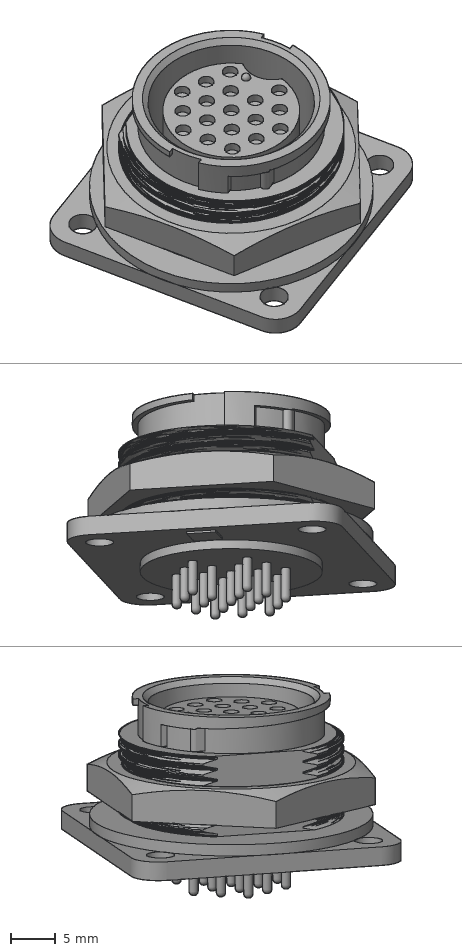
import cadquery as cq
import math


cut_margin = 0.33

flange_thickness = 2.15
gasket_thickness = 1.3
thread_length = 9.25
collar_length = 4.3
gasket_top = flange_thickness + gasket_thickness
thread_top = gasket_top + thread_length
rim_top = thread_top + collar_length

flange_side = 31.55
flange_corner_radius = 3.17
mount_hole_spacing = 24.45
mount_hole_diameter = 3.15
gasket_diameter = 31.75

pad_side = 3.33
pad_height = 0.23
pad_center_y = 12.85

thread_pitch = 1.25
thread_radius = 12.65
thread_depth = 0.82
thread_root_radius = thread_radius - thread_depth
crest_width = 0.15
flank_angle = 30.0
groove_phase_height = 11.88
thread_flat_x = -10.7

neck_radius = 10.45
rim_radius = 11.1
bore_radius = 9.3
bore_chamfer = 0.63
slot_width = 3.65
ramp_depth = 1.15
ramp_slope = 0.037
pocket_depth = 1.55
lug_depth = 4.1
lug_outer_x = 5.0
post_start = (-7.65, 7.15)
post_bulge = (-8.2, 7.35)
post_end = (-8.68, 6.9)

insert_radius = 7.65
insert_recess = 1.8
insert_top = rim_top - insert_recess
key_notch_radius = 3.35
key_notch_center_y = 9.5
contact_pitch = 3.15
contact_row_pitch = contact_pitch * math.sqrt(3) / 2
contacts_in_middle_row = 5
contact_outer_row = 2
contact_hole_radius = 0.85
contact_hole_depth = 1.0
dot_radius = 0.53
dot_center = (-1.1, 5.4)

boss_radius = 10.2
boss_height = 1.02
pin_radius = 0.53
pin_length = 3.85
pin_tip_fillet = 0.5

nut_across_corners = 33.0
nut_bottom = 5.28
nut_height = 4.1
nut_top_radius = 13.93
nut_corner_drop = 1.02


def cylinder(radius, bottom, top):
    return cq.Workplane("XY").workplane(offset=bottom).circle(radius).extrude(top - bottom)


def box_between(x_range, y_range, z_range):
    size = [high - low for low, high in (x_range, y_range, z_range)]
    corner = (x_range[0], y_range[0], z_range[0])
    return cq.Workplane("XY").box(*size, centered=False).translate(corner)


def contact_positions():
    """Hexagonal grid in rows of 3, 4, 5, 4, 3, without the middle place of the +Y row."""
    places = []
    for row in range(-contact_outer_row, contact_outer_row + 1):
        count = contacts_in_middle_row - abs(row)
        for column in range(count):
            offset = column - (count - 1) / 2
            if row == contact_outer_row and offset == 0:
                continue
            places.append((offset * contact_pitch, row * contact_row_pitch))
    return places


def polar_point(radius, angle):
    return (radius * math.cos(angle), radius * math.sin(angle))


def thread_core():
    """Right-handed threaded rod: its level cross-section, extruded with a twist of one turn per pitch.

    The cross-section has a root arc and a crest arc, joined by an off-centre arc for each thread flank.
    """
    radians_per_height = 2 * math.pi / thread_pitch
    flank_height = thread_depth * math.tan(math.radians(flank_angle))
    root_width = thread_pitch - crest_width - 2 * flank_height

    groove_angle = (gasket_top - groove_phase_height) * radians_per_height
    root_start = groove_angle - root_width * radians_per_height / 2
    root_end = groove_angle + root_width * radians_per_height / 2
    crest_start = root_end + flank_height * radians_per_height
    crest_end = crest_start + crest_width * radians_per_height
    next_root_start = root_start + 2 * math.pi

    flank_middle_radius = (thread_root_radius + thread_radius) / 2
    section = (
        cq.Workplane("XY")
        .workplane(offset=gasket_top)
        .moveTo(*polar_point(thread_root_radius, root_start))
        .threePointArc(
            polar_point(thread_root_radius, groove_angle),
            polar_point(thread_root_radius, root_end),
        )
        .threePointArc(
            polar_point(flank_middle_radius, (root_end + crest_start) / 2),
            polar_point(thread_radius, crest_start),
        )
        .threePointArc(
            polar_point(thread_radius, (crest_start + crest_end) / 2),
            polar_point(thread_radius, crest_end),
        )
        .threePointArc(
            polar_point(flank_middle_radius, (crest_end + next_root_start) / 2),
            polar_point(thread_root_radius, next_root_start),
        )
        .close()
    )
    return section.twistExtrude(thread_length, 360 * thread_length / thread_pitch)


def flange():
    plate = (
        cq.Workplane("XY")
        .rect(flange_side, flange_side)
        .extrude(flange_thickness)
        .edges("|Z")
        .fillet(flange_corner_radius)
        .faces(">Z")
        .workplane()
        .rect(mount_hole_spacing, mount_hole_spacing, forConstruction=True)
        .vertices()
        .hole(mount_hole_diameter)
    )
    pad = (
        cq.Workplane("XY")
        .center(0, pad_center_y)
        .rect(pad_side, pad_side)
        .extrude(-pad_height)
    )
    gasket = cylinder(gasket_diameter / 2, flange_thickness, gasket_top)
    return plate.union(pad).union(gasket)


def bayonet_half():
    """The -X half of the bayonet rim: ramp, locking pocket, lug and post."""
    reach = rim_radius + cut_margin
    slot_edge = -slot_width / 2
    ramp_rise = ramp_slope * reach
    ramp = (
        cq.Workplane("YZ", origin=(-reach, 0, 0))
        .polyline([
            (-reach, rim_top),
            (-reach, rim_top - ramp_depth + ramp_rise),
            (reach, rim_top - ramp_depth - ramp_rise),
            (reach, rim_top),
        ])
        .close()
        .extrude(reach + slot_edge)
        .cut(box_between((post_end[0], 0), (0, reach + cut_margin), (thread_top, rim_top)))
    )
    pocket_roof = box_between((post_end[0], slot_edge), (0, reach), (rim_top - pocket_depth, rim_top))
    lug = box_between((-lug_outer_x, slot_edge), (0, reach), (rim_top - lug_depth, rim_top))
    ring = cylinder(rim_radius, thread_top, rim_top).cut(cylinder(bore_radius, thread_top, rim_top))
    post_root_y = math.sqrt(bore_radius ** 2 - post_end[0] ** 2)
    post = (
        cq.Workplane("XY")
        .workplane(offset=rim_top - lug_depth)
        .moveTo(*post_start)
        .threePointArc(post_bulge, post_end)
        .lineTo(post_end[0], post_root_y)
        .close()
        .extrude(lug_depth - pocket_depth)
    )
    return ramp.union(pocket_roof).union(lug).intersect(ring).union(post)


def collar():
    neck = cylinder(neck_radius, thread_top, rim_top)
    half = bayonet_half()
    other_half = half.rotate((0, 0, 0), (0, 0, 1), 180)
    return neck.union(half).union(other_half)


def socket_bore():
    """Space inside the collar and thread, with a chamfered mouth."""
    bore = cylinder(bore_radius, gasket_top, rim_top)
    mouth = cq.Workplane("XY").add(
        cq.Solid.makeCone(
            bore_radius, bore_radius + bore_chamfer, bore_chamfer,
            pnt=cq.Vector(0, 0, rim_top - bore_chamfer),
        )
    )
    return bore.union(mouth)


def insert():
    key_notch = cylinder(key_notch_radius, gasket_top, insert_top).translate((0, key_notch_center_y, 0))
    holes = (
        cq.Workplane("XY")
        .workplane(offset=insert_top)
        .pushPoints(contact_positions())
        .circle(contact_hole_radius)
        .extrude(-contact_hole_depth)
    )
    dot = cq.Workplane("XY").sphere(dot_radius).translate((*dot_center, insert_top))
    return cylinder(insert_radius, gasket_top, insert_top).cut(key_notch).cut(holes).union(dot)


def rear_side():
    boss = cylinder(boss_radius, -boss_height, 0)
    pins = (
        cq.Workplane("XY")
        .workplane(offset=-boss_height)
        .pushPoints(contact_positions())
        .circle(pin_radius)
        .extrude(-pin_length)
        .faces("<Z")
        .edges()
        .fillet(pin_tip_fillet)
    )
    return boss.union(pins)


def make_housing(core):
    flat_cut = box_between(
        (-thread_radius - cut_margin, thread_flat_x),
        (-thread_radius, thread_radius),
        (gasket_top - cut_margin, thread_top + cut_margin),
    )
    threaded_part = core.cut(flat_cut, clean=False)
    shell = threaded_part.union(collar(), clean=False).cut(socket_bore(), clean=False)
    inside_and_rear = insert().union(flange()).union(rear_side())
    return shell.union(inside_and_rear, clean=False)


def make_nut(core):
    """Hexagonal nut with a conical top edge; its bore matches the thread."""
    corner_radius = nut_across_corners / 2
    nut_top = nut_bottom + nut_height
    hexagon = (
        cq.Workplane("XY")
        .workplane(offset=nut_bottom)
        .polygon(6, nut_across_corners)
        .extrude(nut_height)
    )
    envelope = (
        cq.Workplane("XZ")
        .polyline([
            (0, nut_bottom),
            (corner_radius, nut_bottom),
            (corner_radius, nut_top - nut_corner_drop),
            (nut_top_radius, nut_top),
            (0, nut_top),
        ])
        .close()
        .revolve(360, (0, 0, 0), (0, 1, 0))
    )
    return hexagon.intersect(envelope).cut(core, clean=False)


threaded_core = thread_core()
housing = make_housing(threaded_core)
nut = make_nut(threaded_core)

result = cq.Compound.makeCompound([housing.val(), nut.val()])